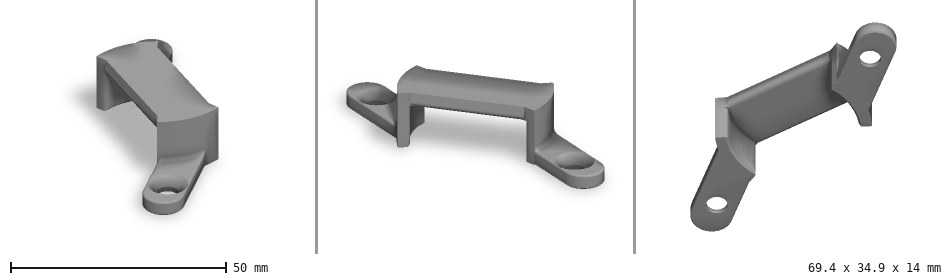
import cadquery as cq
import math

tolerance = 0.001

height = 14.0
length = 69.41
width = 34.88

leg_outer_radius = 18.3
leg_thickness = 3.0
leg_inner_radius = leg_outer_radius - leg_thickness
leg_half_angle = 25.5
inner_edge_fillet = 1.1
leg_foot_chamfer = 0.5

deck_thickness = 3.5
deck_half_length = 13.7
deck_top_half_width = 6.65
deck_draft = 10.0
deck_bottom_half_width = deck_top_half_width + deck_thickness * math.tan(math.radians(deck_draft))
deck_edge_fillet = 1.1
deck_underside = height - deck_thickness

tab_thickness = 3.5
tab_radius = 4.9
tab_angle = -40.0
tab_edge_fillet = 0.5
tab_foot_chamfer = 0.3
tab_end_x = length / 2 - tab_radius
tab_end_y = -(width / 2 - tab_radius)
tab_length = 20.0
cove_radius = 1.0

hole_diameter = 5.0
countersink_diameter = 9.5
countersink_depth = (countersink_diameter - hole_diameter) / 2
hole_setback = 3.75


def cylinder(radius, depth):
    return cq.Workplane("XY").circle(radius).extrude(depth)


def make_leg():
    """Ring sector on the +X side, whose top runs in to the end of the deck."""
    reach = 2 * leg_outer_radius
    half_spread = reach * math.tan(math.radians(leg_half_angle))
    wedge = (
        cq.Workplane("XY")
        .polyline([(0, 0), (reach, -half_spread), (reach, half_spread)])
        .close()
        .extrude(height)
    )
    block = wedge.intersect(cylinder(leg_outer_radius, height))
    block = block.cut(cylinder(deck_half_length, height))
    block = block.cut(cylinder(leg_inner_radius, deck_underside))
    for side in (-1, 1):
        angle = math.radians(side * leg_half_angle)
        corner_x = leg_inner_radius * math.cos(angle)
        corner_y = leg_inner_radius * math.sin(angle)
        upright = cq.selectors.NearestToPointSelector((corner_x, corner_y, deck_underside / 2))
        block = block.edges(upright).fillet(inner_edge_fillet)
    foot_radius = leg_inner_radius + leg_foot_chamfer
    foot_cone = cq.Solid.makeCone(foot_radius, 0, foot_radius)
    return block.cut(cq.Workplane(foot_cone))


def make_deck():
    deck = (
        cq.Workplane("YZ", origin=(-deck_half_length, 0, 0))
        .moveTo(-deck_bottom_half_width, deck_underside)
        .lineTo(deck_bottom_half_width, deck_underside)
        .lineTo(deck_top_half_width, height)
        .lineTo(-deck_top_half_width, height)
        .close()
        .extrude(2 * deck_half_length)
    )
    return deck.faces("<Z").edges("|X").fillet(deck_edge_fillet)


def both_ends(end_piece):
    """The +X end piece joined with its half-turn copy at the -X end."""
    return end_piece.union(end_piece.rotate((0, 0, 0), (0, 0, 1), 180))


def make_tab_slab():
    """Wide ring about the Z axis, as thick as a tab, with a cove rising against the legs."""
    core_radius = leg_outer_radius - leg_thickness / 2
    cove_top = tab_thickness + cove_radius
    cove_middle = cove_radius * (1 - math.sqrt(0.5))
    return (
        cq.Workplane("XZ")
        .moveTo(core_radius, 0)
        .lineTo(length, 0)
        .lineTo(length, tab_thickness)
        .lineTo(leg_outer_radius + cove_radius, tab_thickness)
        .threePointArc(
            (leg_outer_radius + cove_middle, tab_thickness + cove_middle),
            (leg_outer_radius, cove_top),
        )
        .lineTo(core_radius, cove_top)
        .close()
        .revolve(360, (0, 0, 0), (0, 1, 0))
    )


def make_tab():
    """Tab of the +X end, rounded at its tip, with softened edges and a cove at the leg."""
    outline = (
        cq.Workplane("XY")
        .moveTo(-tab_length, -tab_radius)
        .lineTo(0, -tab_radius)
        .threePointArc((tab_radius, 0), (0, tab_radius))
        .lineTo(-tab_length, tab_radius)
        .close()
        .extrude(tab_thickness + cove_radius)
    )
    placed = outline.rotate((0, 0, 0), (0, 0, 1), tab_angle).translate((tab_end_x, tab_end_y, 0))
    tab = placed.intersect(make_tab_slab())
    upper_rim = outline_edges(tab, tab_thickness)
    tab = tab.newObject(upper_rim).fillet(tab_edge_fillet)
    lower_rim = outline_edges(tab, 0)
    return tab.newObject(lower_rim).chamfer(tab_foot_chamfer)


def outline_edges(tab, level):
    """Edges of a tab that start at the given level, beyond the leg, and follow its outline."""
    found = []
    for edge in tab.edges("not |Z").vals():
        starts_at_level = abs(edge.BoundingBox().zmin - level) < tolerance
        across_tab = edge.geomType() == "CIRCLE" and edge.radius() > 2 * tab_radius
        beside_core = math.hypot(edge.Center().x, edge.Center().y) < leg_outer_radius - leg_thickness / 4
        if starts_at_level and not across_tab and not beside_core:
            found.append(edge)
    return found


def make_countersink():
    """Cutter for the screw hole of the +X tab."""
    angle = math.radians(tab_angle)
    x = tab_end_x - hole_setback * math.cos(angle)
    y = tab_end_y - hole_setback * math.sin(angle)
    hole_radius = hole_diameter / 2
    sink_radius = countersink_diameter / 2
    sink_bottom = tab_thickness - countersink_depth
    return (
        cq.Workplane("XZ")
        .lineTo(hole_radius, 0)
        .lineTo(hole_radius, sink_bottom)
        .lineTo(sink_radius, tab_thickness)
        .lineTo(0, tab_thickness)
        .close()
        .revolve(360, (0, 0, 0), (0, 1, 0))
        .translate((x, y, 0))
    )


result = make_deck().union(both_ends(make_leg()))
result = result.union(both_ends(make_tab())).cut(both_ends(make_countersink()))